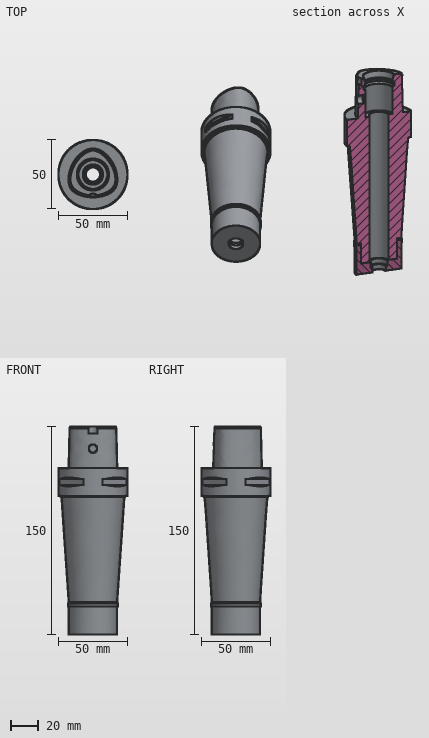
import cadquery as cq
import math

total_height = 150.0
shank_length = 30.0
flange_bottom_z = 100.0
neck_cone_height = 1.0
body_bottom_z = 23.5
nut_height = 22.5

flange_top_z = total_height - shank_length
body_top_z = flange_bottom_z - neck_cone_height

shank_radius = 17.6
shank_lobe = 1.15
shank_taper = 1 / 40
shank_chamfer_height = 1.4
shank_chamfer_width = 0.7
outline_points = 24

flange_radius = 25.0
neck_cone_radius = 23.8
body_top_radius = 22.7
body_bottom_radius = 17.5

slot_count = 4
slot_middle_z = (flange_top_z + flange_bottom_z) / 2
slot_floor_distance = 21.9
slot_flare_distance = 22.8
slot_floor_height = 4.2
slot_rim_height = 6.4

notch_radius = 3.7
notch_axis_y = -17.45
notch_depth = 5.0
side_hole_radius = 3.0
side_hole_z = 134.0
side_hole_depth = 4.6

bore_mouth_radius = 11.5
bore_radius = 10.4
bore_mouth_depth = 3.8
groove_start_depth = 4.9
groove_end_depth = 9.6
groove_height = 1.5
bore_depth = 30.0
through_bore_radius = 7.25

spigot_radius = 14.0
spigot_bottom_z = 8.0
nut_radius = 17.5
nut_lip_radius = 18.0
nut_lip_height = 2.2
nut_hole_radius = 5.2
nut_counterbore_radius = 6.3
nut_counterbore_depth = 4.0


def revolve_profile(points):
    """Solid of revolution about Z from (radius, height) points."""
    return cq.Workplane("XZ").polyline(points).close().revolve(360, (0, 0, 0), (0, 1, 0))


def lobed_outline(mean_radius, z):
    """Closed three-lobed curve of constant lobe height, one lobe pointing along +Y."""
    points = []
    for i in range(outline_points):
        angle = 2 * math.pi * i / outline_points
        reach = mean_radius - shank_lobe * math.sin(3 * angle)
        slope = -3 * shank_lobe * math.cos(3 * angle)
        x = reach * math.cos(angle) - slope * math.sin(angle)
        y = reach * math.sin(angle) + slope * math.cos(angle)
        points.append(cq.Vector(x, y, z))
    return cq.Wire.assembleEdges([cq.Edge.makeSpline(points, periodic=True)])


def polygon_shank():
    chamfer_z = total_height - shank_chamfer_height
    chamfer_radius = shank_radius - shank_taper * (chamfer_z - flange_top_z)
    top_radius = chamfer_radius - shank_chamfer_width
    chamfer_outline = lobed_outline(chamfer_radius, chamfer_z)
    cone = cq.Solid.makeLoft([lobed_outline(shank_radius, flange_top_z), chamfer_outline], True)
    chamfer = cq.Solid.makeLoft([chamfer_outline, lobed_outline(top_radius, total_height)], True)
    return cq.Workplane(cone).union(cq.Workplane(chamfer))


def turned_body():
    """Flange, tapered body and the spigot that carries the nut."""
    return revolve_profile([
        (0, spigot_bottom_z),
        (spigot_radius, spigot_bottom_z),
        (spigot_radius, body_bottom_z),
        (body_bottom_radius, body_bottom_z),
        (body_top_radius, body_top_z),
        (neck_cone_radius, flange_bottom_z),
        (flange_radius, flange_bottom_z),
        (flange_radius, flange_top_z),
        (0, flange_top_z),
    ])


def holder_bore():
    groove_radius = bore_radius + groove_height
    return revolve_profile([
        (0, total_height),
        (bore_mouth_radius, total_height),
        (bore_radius, total_height - bore_mouth_depth),
        (bore_radius, total_height - groove_start_depth),
        (groove_radius, total_height - groove_start_depth - groove_height),
        (groove_radius, total_height - groove_end_depth + groove_height),
        (bore_radius, total_height - groove_end_depth),
        (bore_radius, total_height - bore_depth),
        (through_bore_radius, total_height - bore_depth),
        (through_bore_radius, spigot_bottom_z),
        (0, spigot_bottom_z),
    ])


def gripper_slots():
    """Straight slots with a flat floor and sides that open out, midway between the X and Y axes."""
    side_slope = (slot_rim_height - slot_floor_height) / 2 / (flange_radius - slot_flare_distance)
    outer_distance = flange_radius + 1
    floor_half = slot_floor_height / 2
    outer_half = floor_half + side_slope * (outer_distance - slot_flare_distance)
    slot = (
        cq.Workplane("XZ")
        .polyline([
            (slot_floor_distance, slot_middle_z - floor_half),
            (slot_flare_distance, slot_middle_z - floor_half),
            (outer_distance, slot_middle_z - outer_half),
            (outer_distance, slot_middle_z + outer_half),
            (slot_flare_distance, slot_middle_z + floor_half),
            (slot_floor_distance, slot_middle_z + floor_half),
        ])
        .close()
        .extrude(flange_radius, both=True)
    )
    step = 360 / slot_count
    return [slot.rotate((0, 0, 0), (0, 0, 1), step * (i + 0.5)) for i in range(slot_count)]


def key_notch():
    return (
        cq.Workplane("XY", origin=(0, notch_axis_y, total_height - notch_depth))
        .circle(notch_radius)
        .extrude(notch_depth)
    )


def side_hole():
    wall_y = -(shank_radius - shank_lobe - shank_taper * (side_hole_z - flange_top_z))
    floor_y = wall_y + side_hole_depth
    return (
        cq.Workplane("XZ", origin=(0, floor_y, side_hole_z))
        .circle(side_hole_radius)
        .extrude(flange_radius)
    )


def make_holder():
    holder = turned_body().union(polygon_shank())
    for cutter in [holder_bore(), key_notch(), side_hole(), *gripper_slots()]:
        holder = holder.cut(cutter)
    return holder


def make_nut():
    """Nut with a recess that takes the spigot and a counterbored hole in its front wall."""
    return revolve_profile([
        (nut_hole_radius, 0),
        (nut_radius, 0),
        (nut_radius, nut_height - nut_lip_height),
        (nut_lip_radius, nut_height - nut_lip_height),
        (nut_lip_radius, nut_height),
        (spigot_radius, nut_height),
        (spigot_radius, spigot_bottom_z),
        (nut_counterbore_radius, spigot_bottom_z),
        (nut_counterbore_radius, spigot_bottom_z - nut_counterbore_depth),
        (nut_hole_radius, spigot_bottom_z - nut_counterbore_depth),
    ])


holder = make_holder()
nut = make_nut()
result = cq.Compound.makeCompound([holder.val(), nut.val()])